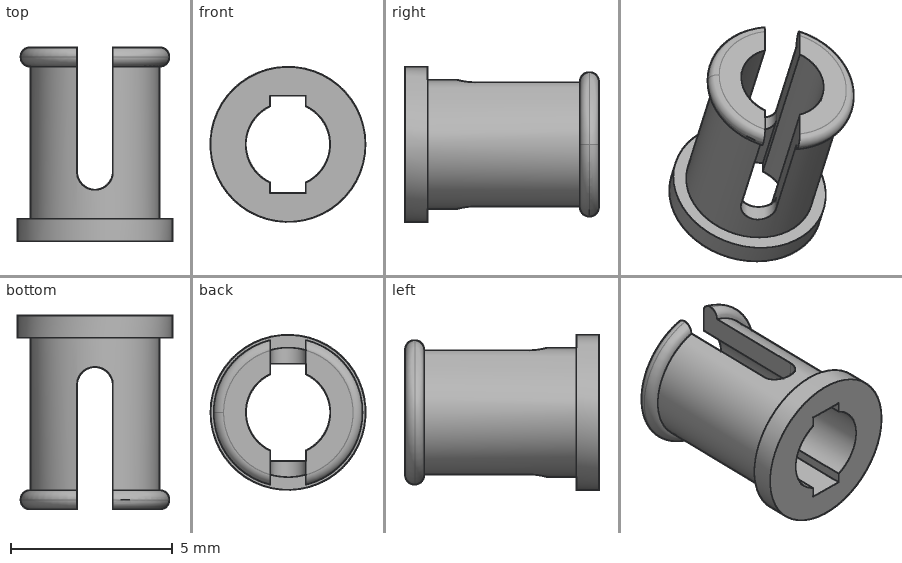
import cadquery as cq

length = 6.0
flange_diameter = 4.8
flange_thickness = 0.7
body_diameter = 4.0
bore_diameter = 2.6
bead_radius = 0.3
slot_width = 1.1
slot_start = 1.6
keyway_height = 3.0


def cylinder(diameter, depth):
    """Cylinder from the flange face toward +Y."""
    return cq.Workplane("XZ").circle(diameter / 2).extrude(-depth)


def bead():
    """Full-round ring around the slotted end."""
    return (
        cq.Workplane("XY")
        .center(body_diameter / 2, length - bead_radius)
        .circle(bead_radius)
        .revolve(360, (-body_diameter / 2, 0), (-body_diameter / 2, 1))
    )


def slot():
    """Slot through both walls along Z, open at the bead end."""
    round_center = slot_start + slot_width / 2
    round_end = cq.Workplane("XY").center(0, round_center).circle(slot_width / 2)
    straight = cq.Workplane("XY").center(0, (round_center + length) / 2)
    straight = straight.rect(slot_width, length - round_center)
    return round_end.extrude(flange_diameter / 2, both=True).union(
        straight.extrude(flange_diameter / 2, both=True)
    )


def keyways():
    """Two opposite keyways running the full length of the bore."""
    return cq.Workplane("XZ").rect(slot_width, keyway_height).extrude(-length)


sleeve = cylinder(flange_diameter, flange_thickness)
sleeve = sleeve.union(cylinder(body_diameter, length)).union(bead())
result = sleeve.cut(cylinder(bore_diameter, length)).cut(keyways()).cut(slot())